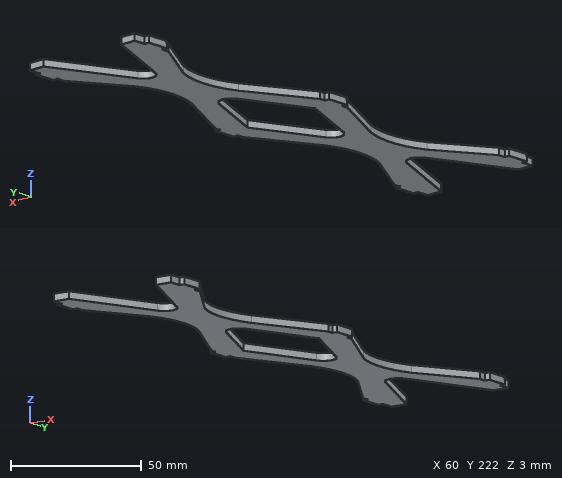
import cadquery as cq

length = 222.0
width = 60.0
thickness = 3.0

tab_length = 10.0
tab_depth = 2.2
end_tab_offset = 5.5
end_shoulder = 3.3
middle_shoulder = 2.7

crossing_y = 52.4
neck_half_width = 9.0
neck_half_length = 15.5
neck_outer_half_width = 12.7
neck_inner_half_width = 12.5

window_half_width = 17.8
opening_gap = 19.5
opening_radius = 5.0
sharp_tip_offset = 7.5

half_length = length / 2
half_width = width / 2
body_half_width = half_width - tab_depth
end_tab_y = half_length - end_tab_offset - tab_length / 2
end_leg_y = end_tab_y - tab_length / 2 - end_shoulder
middle_leg_y = tab_length / 2 + middle_shoulder
window_tip_y = crossing_y - opening_gap + sharp_tip_offset
notch_tip_y = 2 * crossing_y - window_tip_y
notch_half_width = (half_length - notch_tip_y) * window_half_width / window_tip_y


def make_quarter():
    """Solid quarter of the plate without tabs or openings, in +X +Y."""
    return (
        cq.Workplane("XY")
        .moveTo(0, 0)
        .lineTo(body_half_width, 0)
        .lineTo(body_half_width, middle_leg_y)
        .lineTo(neck_inner_half_width, crossing_y - neck_half_length)
        .threePointArc(
            (neck_half_width, crossing_y),
            (neck_outer_half_width, crossing_y + neck_half_length),
        )
        .lineTo(body_half_width, end_leg_y)
        .lineTo(body_half_width, half_length)
        .lineTo(0, half_length)
        .close()
        .extrude(thickness)
    )


def make_body():
    quarter = make_quarter()
    half = quarter.union(quarter.mirror("YZ"))
    return half.union(half.mirror("XZ"))


def make_tabs():
    """Bars across the full width whose ends form opposite pairs of tabs."""
    return (
        cq.Workplane("XY")
        .pushPoints([(0, -end_tab_y), (0, 0), (0, end_tab_y)])
        .rect(width, tab_length)
        .extrude(thickness)
    )


def make_window():
    """Central diamond opening with rounded tips along Y."""
    return (
        cq.Workplane("XY")
        .polyline([
            (window_half_width, 0),
            (0, window_tip_y),
            (-window_half_width, 0),
            (0, -window_tip_y),
        ])
        .close()
        .extrude(thickness)
        .edges("|Z and (>Y or <Y)")
        .fillet(opening_radius)
    )


def make_notch():
    """V-shaped opening at the +Y end with a rounded root."""
    return (
        cq.Workplane("XY")
        .polyline([
            (-notch_half_width, half_length),
            (0, notch_tip_y),
            (notch_half_width, half_length),
        ])
        .close()
        .extrude(thickness)
        .edges("|Z and <Y")
        .fillet(opening_radius)
    )


notch = make_notch()
result = (
    make_body()
    .union(make_tabs())
    .cut(make_window())
    .cut(notch)
    .cut(notch.mirror("XZ"))
)